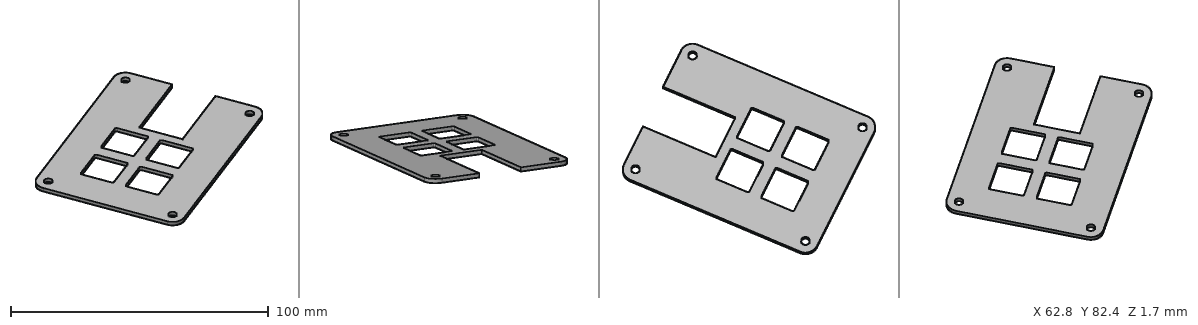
import cadquery as cq

plate_width = 62.8
plate_length = 82.4
plate_thickness = 1.7
corner_radius = 4.95

hole_diameter = 3.4
hole_spacing_x = plate_width - 2 * corner_radius
hole_spacing_y = plate_length - 2 * corner_radius

notch_width = 18.5
notch_depth = 31.0
notch_center_x = 0.4

window_size = 14.1
window_pitch = 19.1
window_corner_radius = 0.7
windows_per_side = 2
window_grid_x = -0.5
window_grid_y = -10.3


def make_plate():
    """Flat plate with rounded vertical corners."""
    plate = cq.Workplane("XY").rect(plate_width, plate_length).extrude(plate_thickness)
    return plate.edges("|Z").fillet(corner_radius)


def make_mounting_holes():
    """One through hole near each plate corner."""
    return (
        cq.Workplane("XY")
        .rect(hole_spacing_x, hole_spacing_y, forConstruction=True)
        .vertices()
        .circle(hole_diameter / 2)
        .extrude(plate_thickness)
    )


def make_notch():
    """Rectangular cut with sharp corners, open at the +Y edge."""
    notch_center_y = (plate_length - notch_depth) / 2
    return (
        cq.Workplane("XY")
        .center(notch_center_x, notch_center_y)
        .rect(notch_width, notch_depth)
        .extrude(plate_thickness)
    )


def make_windows():
    """Grid of square through windows with small rounded corners."""
    return (
        cq.Workplane("XY")
        .center(window_grid_x, window_grid_y)
        .rarray(window_pitch, window_pitch, windows_per_side, windows_per_side)
        .rect(window_size, window_size)
        .extrude(plate_thickness)
        .edges("|Z")
        .fillet(window_corner_radius)
    )


result = (
    make_plate()
    .cut(make_mounting_holes())
    .cut(make_notch())
    .cut(make_windows())
)